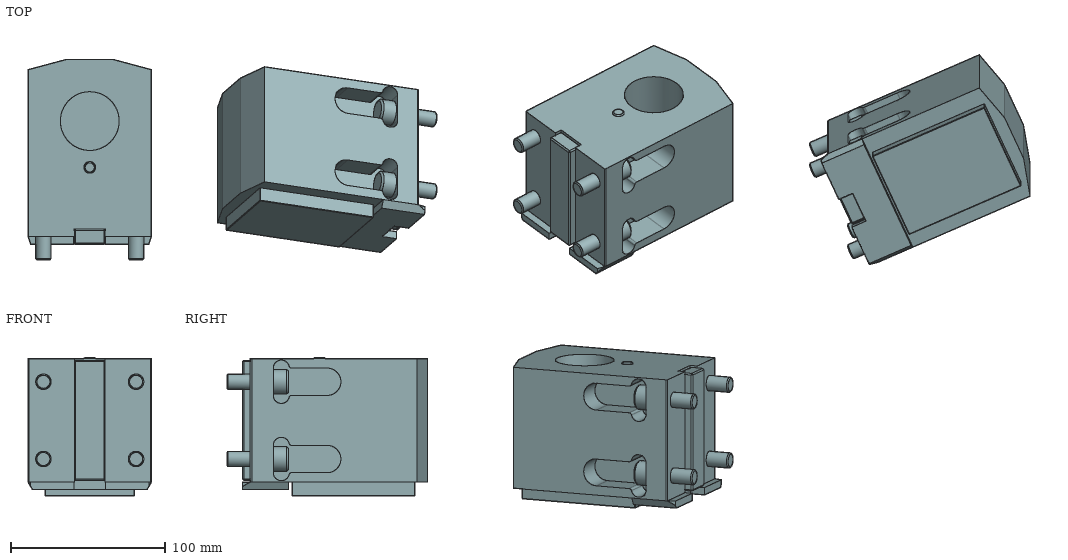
import cadquery as cq
import math


block_width = 80.0
block_height = 80.0
block_rear = 40.0
block_length = 114.9
block_front = block_rear - block_length
rear_bevel_angle = math.radians(15)
rear_bevel_width = 25.0
rear_bevel_length = rear_bevel_width * math.tan(rear_bevel_angle)
corner_cut_width = 0.5
corner_cut_length = 1.0
half_width = block_width / 2

bore_diameter = 38.1

button_diameter = 7.5
button_height = 0.9
button_chamfer = 0.8
button_y = -30.0

foot_width = 58.0
foot_length = 79.7
foot_height = 9.0
foot_rear_inset = 8.0
foot_rear = block_rear - foot_rear_inset
foot_chamfer = 0.4

plate_thickness = 5.0
lip_length = 5.1
plate_length = 30.0
plate_front = block_front - lip_length
plate_side_angle = math.radians(30)
plate_side_inset = plate_thickness * math.tan(plate_side_angle)
lip_corner_inset = 1.7
lip_gap = 20.4

key_width = 20.0
key_height = 77.7
key_top_gap = 1.0
key_chamfer = 0.9
groove_depth = 5.0
groove_back = block_front + groove_depth

screw_x = 30.0
screw_levels = (15.0, 65.0)
shank_diameter = 10.0
shank_chamfer = 0.8
overall_length = 130.0
screw_tip = block_rear - overall_length
head_diameter = 16.0
head_length = 10.0
head_chamfer = 1.3
rear_to_head_seat = 100.0
head_seat = block_rear - rear_to_head_seat

slot_width = 17.7
rear_to_slot = 56.2
slot_rear = block_rear - rear_to_slot
head_pocket_length = 10.4
head_pocket_height = 28.1
pocket_corner_radius = 1.7
pocket_depth = half_width - screw_x + slot_width / 2


def make_block():
    """Main block with a bevelled rear, slightly cut front corners and the blind bore."""
    bevel_start = block_rear - rear_bevel_length
    flat_half_width = half_width - rear_bevel_width
    front_half_width = half_width - corner_cut_width
    corner_end = block_front + corner_cut_length
    outline = [
        (-front_half_width, block_front),
        (front_half_width, block_front),
        (half_width, corner_end),
        (half_width, bevel_start),
        (flat_half_width, block_rear),
        (-flat_half_width, block_rear),
        (-half_width, bevel_start),
        (-half_width, corner_end),
    ]
    block = cq.Workplane("XY").polyline(outline).close().extrude(block_height)
    bore = cq.Workplane("XY").circle(bore_diameter / 2).extrude(block_height)
    return block.cut(bore)


def make_foot():
    """Rectangular foot with small chamfers on all edges except those against the block."""
    foot = (
        cq.Workplane("XY")
        .center(0, foot_rear - foot_length / 2)
        .rect(foot_width, foot_length)
        .extrude(-foot_height)
    )
    return foot.edges("|Z or <Z").chamfer(foot_chamfer)


def make_plate():
    """Plate with undercut sides, and lip corners that narrow toward the front."""
    bottom_half_width = half_width - plate_side_inset
    section = [
        (-half_width, 0),
        (half_width, 0),
        (bottom_half_width, -plate_thickness),
        (-bottom_half_width, -plate_thickness),
    ]
    plate = (
        cq.Workplane("XZ", origin=(0, plate_front + plate_length, 0))
        .polyline(section)
        .close()
        .extrude(plate_length)
    )
    lip_half_width = half_width - lip_corner_inset
    outline = [
        (-lip_half_width, plate_front),
        (lip_half_width, plate_front),
        (half_width, block_front),
        (half_width, plate_front + plate_length),
        (-half_width, plate_front + plate_length),
        (-half_width, block_front),
    ]
    plan = cq.Workplane("XY").polyline(outline).close().extrude(-plate_thickness)
    gap_length = groove_back - plate_front
    gap = (
        cq.Workplane("XY")
        .center(0, plate_front + gap_length / 2)
        .rect(lip_gap, gap_length)
        .extrude(-plate_thickness)
    )
    return plate.intersect(plan).cut(gap)


def make_groove():
    """Full-height groove in the clamping face."""
    return (
        cq.Workplane("XY")
        .center(0, block_front + groove_depth / 2)
        .rect(key_width, groove_depth)
        .extrude(block_height)
    )


def make_key():
    """Key filling the groove, chamfered all around and flush with the lip."""
    key_depth = groove_back - plate_front
    key_bottom = block_height - key_top_gap - key_height
    key = (
        cq.Workplane("XY", origin=(0, plate_front + key_depth / 2, key_bottom))
        .rect(key_width, key_depth)
        .extrude(key_height)
    )
    return key.edges().chamfer(key_chamfer)


def make_button():
    """Low round button with a bevelled rim."""
    return (
        cq.Workplane("XY", origin=(0, button_y, block_height))
        .circle(button_diameter / 2)
        .extrude(button_height)
        .faces(">Z")
        .chamfer(button_chamfer)
    )


def make_screw(x, z):
    """Screw along Y, with its head at the rear and its tip ahead of the clamping face."""
    shank = (
        cq.Workplane("XZ", origin=(x, head_seat, z))
        .circle(shank_diameter / 2)
        .extrude(head_seat - screw_tip)
        .faces("<Y")
        .chamfer(shank_chamfer)
    )
    head = (
        cq.Workplane("XZ", origin=(x, head_seat, z))
        .circle(head_diameter / 2)
        .extrude(-head_length)
        .faces(">Y")
        .chamfer(head_chamfer)
    )
    return shank.union(head)


def make_pocket(side, z):
    """Blind T-shaped pocket: a round-ended slot along Y ending in a taller round-ended slot."""
    slot_radius = slot_width / 2
    arc_centre = slot_rear - slot_radius
    head_pocket_y = head_seat + head_pocket_length / 2
    plane = cq.Workplane("YZ", origin=(side * half_width, 0, z))
    inward = -side * pocket_depth
    slot_end = plane.center(arc_centre, 0).circle(slot_radius).extrude(inward)
    slot_body = (
        plane.center((arc_centre + head_pocket_y) / 2, 0)
        .rect(arc_centre - head_pocket_y, slot_width)
        .extrude(inward)
    )
    head_pocket = (
        plane.center(head_pocket_y, 0)
        .slot2D(head_pocket_height, head_pocket_length, 90)
        .extrude(inward)
    )
    pocket = slot_body.union(head_pocket)
    corner_y = head_seat + head_pocket_length
    corners = cq.selectors.BoxSelector(
        (-block_width, corner_y - pocket_corner_radius, z - slot_width),
        (block_width, corner_y + pocket_corner_radius, z + slot_width),
    )
    pocket = pocket.edges("|X").edges(corners).fillet(pocket_corner_radius)
    return pocket.union(slot_end)


result = make_block().cut(make_groove())
for side in (-1, 1):
    for level in screw_levels:
        result = result.cut(make_pocket(side, level))

for piece in (make_foot(), make_plate(), make_key(), make_button()):
    result = result.union(piece)

for side in (-1, 1):
    for level in screw_levels:
        result = result.union(make_screw(side * screw_x, level))